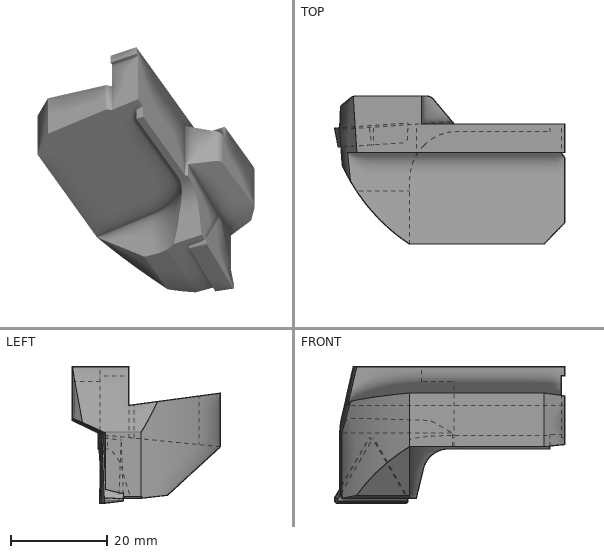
import cadquery as cq
import math

LENGTH = 48.0
WIDTH = 30.9
HEIGHT = 28.5
OVERCUT = 4.8

RIB_FRONT_Y = 19.05
RIB_BACK_Y = 25.05
SHOULDER_INNER_Z = 20.45
SHOULDER_OUTER_Z = 23.0
FRONT_BOTTOM_Z = 11.8
TIP_BEVEL_Y = 11.05
TIP_BEVEL_Z = 1.7
TIP_FLAT_Y = 16.5
TIP_BOTTOM_Z = 1.05

NOSE_START_X = 15.6
NOSE_MIDDLE = (6.9, 7.85)
NOSE_END = (1.55, 16.6)
OUTLINE_LEFT_X = 0.35
NOSE_EXTENSION_Y = 18.7
FRONT_CHAMFER_X = 4.35
FRONT_CHAMFER_Y = 4.5
LEFT_BEVEL_Y = 28.0
LEFT_BEVEL_END_X = 3.9
BACK_BEVEL_START_X = 20.0
BACK_BEVEL_END_X = 24.9
BACK_CORNER_RADIUS = 4.4 / 2

TOOL_ANGLE = 3.8
TOOL_ORIGIN_Y = 24.2
BLADE_SIDE_U = 1.05
BLADE_TOP_Z = 14.85
BLADE_SETBACK = 0.35
HEAD_TOP_U = 4.3
TIP_CHAMFER_U = 0.2
TIP_CHAMFER_Z = 0.45
UNDERCUT_SLOPE = 0.456

BLADE_BOTTOM_X = 17.05
BLADE_BACK_ANGLE = 13.7
BLADE_BACK_RADIUS = 5.3
PAD_BOTTOM_Z = 11.33
PAD_END_X = 44.8
PAD_FRONT_Y = 23.5
RELIEF_START_X = 15.65
RELIEF_RADIUS = 10.1
RELIEF_SLOPE = 0.1

LEDGE_START_X = 18.15
LEDGE_DEPTH = 3.1
RECESS_DEPTH = 0.75
RECESS_TOP_Z = 26.6
RECESS_FRONT_Y = 18.0

INSERT_LENGTH = 15.35
INSERT_HEIGHT = 13.7
INSERT_THICKNESS = 4.05
INSERT_EDGE_Z = 1.15
INSERT_SIDE_ANGLE = 60.0
INSERT_CORNER_RADIUS = 0.6
INSERT_CLEARANCE_ANGLE = 6.8

tool_sin = math.sin(math.radians(TOOL_ANGLE))
tool_cos = math.cos(math.radians(TOOL_ANGLE))


def tool_plane():
    """Insert's back plane: x runs along the blade, y is up, the normal points to the front."""
    return cq.Plane(
        origin=(0, TOOL_ORIGIN_Y, 0),
        xDir=(tool_cos, tool_sin, 0),
        normal=(tool_sin, -tool_cos, 0),
    )


def cross_section_bar():
    return (
        cq.Workplane("YZ")
        .polyline([
            (WIDTH, HEIGHT),
            (RIB_FRONT_Y, HEIGHT),
            (RIB_FRONT_Y, SHOULDER_INNER_Z),
            (0, SHOULDER_OUTER_Z),
            (0, FRONT_BOTTOM_Z),
            (TIP_BEVEL_Y, TIP_BEVEL_Z),
            (TIP_FLAT_Y, TIP_BOTTOM_Z),
            (WIDTH, TIP_BOTTOM_Z),
        ])
        .close()
        .extrude(LENGTH)
    )


def plan_prism():
    prism = (
        cq.Workplane("XY")
        .moveTo(NOSE_START_X, 0)
        .threePointArc(NOSE_MIDDLE, NOSE_END)
        .lineTo(OUTLINE_LEFT_X, NOSE_EXTENSION_Y)
        .lineTo(OUTLINE_LEFT_X, LEFT_BEVEL_Y)
        .lineTo(LEFT_BEVEL_END_X, WIDTH)
        .lineTo(BACK_BEVEL_START_X, WIDTH)
        .lineTo(BACK_BEVEL_END_X, RIB_BACK_Y)
        .lineTo(LENGTH, RIB_BACK_Y)
        .lineTo(LENGTH, FRONT_CHAMFER_Y)
        .lineTo(LENGTH - FRONT_CHAMFER_X, 0)
        .close()
        .extrude(HEIGHT)
    )
    back_corners = cq.selectors.BoxSelector(
        (0, WIDTH - 0.5, 0), (BACK_BEVEL_END_X, WIDTH + 0.5, HEIGHT)
    )
    return prism.edges("|Z").edges(back_corners).fillet(BACK_CORNER_RADIUS)


def left_face_cutter():
    """Everything left of the upright blade side and of the leaning head face above it."""
    top_z = HEIGHT + OVERCUT
    lean = (HEAD_TOP_U - BLADE_SIDE_U) / (HEIGHT - BLADE_TOP_Z)
    return (
        cq.Workplane(tool_plane())
        .polyline([
            (-OVERCUT, 0),
            (BLADE_SIDE_U + TIP_CHAMFER_U, 0),
            (BLADE_SIDE_U + TIP_CHAMFER_U, TIP_BOTTOM_Z),
            (BLADE_SIDE_U, TIP_BOTTOM_Z + TIP_CHAMFER_Z),
            (BLADE_SIDE_U, BLADE_TOP_Z),
            (HEAD_TOP_U + lean * OVERCUT, top_z),
            (-OVERCUT, top_z),
        ])
        .close()
        .extrude(WIDTH, both=True)
    )


def undercut_cutter():
    """Space behind the blade, below the sloping underside of the head."""
    reach = WIDTH - TOOL_ORIGIN_Y + OVERCUT
    section_plane = cq.Plane(
        origin=(0, TOOL_ORIGIN_Y, 0),
        xDir=(-tool_sin, tool_cos, 0),
        normal=(tool_cos, tool_sin, 0),
    )
    return (
        cq.Workplane(section_plane)
        .polyline([
            (-BLADE_SETBACK, 0),
            (reach, 0),
            (reach, BLADE_TOP_Z + UNDERCUT_SLOPE * reach),
            (-BLADE_SETBACK, BLADE_TOP_Z - UNDERCUT_SLOPE * BLADE_SETBACK),
        ])
        .close()
        .extrude(LENGTH, both=True)
    )


def blade_back_cutter():
    """Space to the right of the blade, rounded up into the pad below the shank."""
    run = PAD_BOTTOM_Z * math.tan(math.radians(BLADE_BACK_ANGLE))
    foot_x = BLADE_BOTTOM_X - TIP_BOTTOM_Z * math.tan(math.radians(BLADE_BACK_ANGLE))
    cutter = (
        cq.Workplane("XZ")
        .polyline([
            (foot_x, 0),
            (foot_x + run, PAD_BOTTOM_Z),
            (LENGTH + OVERCUT, PAD_BOTTOM_Z),
            (LENGTH + OVERCUT, 0),
        ])
        .close()
        .extrude(-WIDTH)
    )
    return cutter.edges("|Y").edges(">Z").edges("<X").fillet(BLADE_BACK_RADIUS)


def shank_relief_cutter():
    """Space in front of the pad, below the slightly rising underside of the shank."""
    arc_end_x = RELIEF_START_X + RELIEF_RADIUS
    arc_start_y = PAD_FRONT_Y - RELIEF_RADIUS
    corner = RELIEF_RADIUS * (1 - math.sqrt(0.5))
    plan = (
        cq.Workplane("XY")
        .moveTo(RELIEF_START_X, 0)
        .lineTo(RELIEF_START_X, arc_start_y)
        .threePointArc(
            (RELIEF_START_X + corner, PAD_FRONT_Y - corner),
            (arc_end_x, PAD_FRONT_Y),
        )
        .lineTo(PAD_END_X, PAD_FRONT_Y)
        .lineTo(PAD_END_X, WIDTH)
        .lineTo(LENGTH, WIDTH)
        .lineTo(LENGTH, 0)
        .close()
        .extrude(HEIGHT)
    )
    below_shank = (
        cq.Workplane("YZ")
        .polyline([
            (0, 0),
            (WIDTH, 0),
            (WIDTH, FRONT_BOTTOM_Z + RELIEF_SLOPE * WIDTH),
            (0, FRONT_BOTTOM_Z),
        ])
        .close()
        .extrude(LENGTH)
    )
    return plan.intersect(below_shank)


def ledge_cutter():
    return cq.Workplane("XY").box(
        LENGTH, WIDTH, LEDGE_DEPTH, centered=False
    ).translate((LEDGE_START_X, RIB_BACK_Y, HEIGHT - LEDGE_DEPTH))


def end_recess_cutter():
    inner_x = LENGTH - RECESS_DEPTH
    return (
        cq.Workplane("XY")
        .polyline([
            (LENGTH, RECESS_FRONT_Y),
            (inner_x, RIB_FRONT_Y),
            (inner_x, WIDTH),
            (LENGTH, WIDTH),
        ])
        .close()
        .extrude(RECESS_TOP_Z)
    )


def make_insert():
    """Triangular insert with blunted tips, rounded cutting corners and clearance all round."""
    side_run = (INSERT_HEIGHT - INSERT_EDGE_Z) / math.tan(math.radians(INSERT_SIDE_ANGLE))
    profile = (
        cq.Sketch()
        .polygon([
            (0, 0),
            (INSERT_LENGTH, 0),
            (INSERT_LENGTH, INSERT_EDGE_Z),
            (INSERT_LENGTH - side_run, INSERT_HEIGHT),
            (side_run, INSERT_HEIGHT),
            (0, INSERT_EDGE_Z),
            (0, 0),
        ])
        .vertices("<Y")
        .fillet(INSERT_CORNER_RADIUS)
    )
    return (
        cq.Workplane(tool_plane())
        .placeSketch(profile)
        .extrude(INSERT_THICKNESS, taper=INSERT_CLEARANCE_ANGLE)
    )


def make_holder(insert):
    holder = cross_section_bar().intersect(plan_prism())
    holder = holder.cut(left_face_cutter())
    holder = holder.cut(undercut_cutter())
    holder = holder.cut(blade_back_cutter())
    holder = holder.cut(shank_relief_cutter())
    holder = holder.cut(ledge_cutter())
    holder = holder.cut(end_recess_cutter())
    return holder.cut(insert)


insert = make_insert()
holder = make_holder(insert)

result = cq.Compound.makeCompound([*holder.vals(), *insert.vals()])